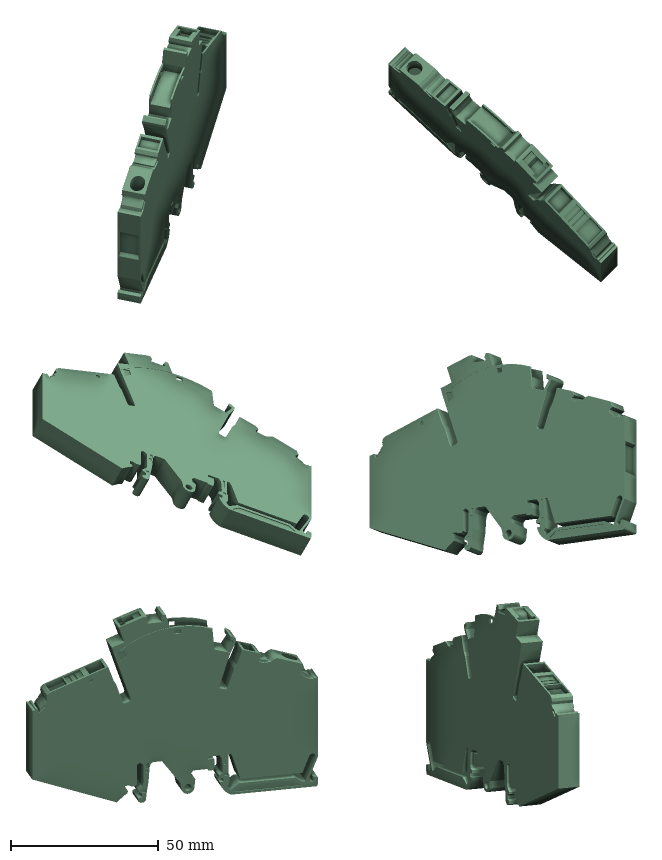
import cadquery as cq
import math


width = 8.1
length = 100.0
total_height = 67.95
wall = 0.6
inner_width = width - 2 * wall
shallow = 0.4

floor_z = 15.1
strip_z = 14.7
foot_end_y = 30.6
foot_back_y = 62.4
chin_z = 5.4
corner_z = 12.0
back_corner_z = 12.7

arc_y = 48.6
arc_radius = 34.5
arc_top_z = 63.3
arc_z = arc_top_z - arc_radius
recess_depth = 3.2
crown_start_y = 71.2
crown_end_y = 36.9
recess_end_y = 51.7


def prism(points, x_start=0.0, x_size=width):
    """Extrude a closed (Y, Z) outline along X."""
    return cq.Workplane("YZ", origin=(x_start, 0, 0)).polyline(points).close().extrude(x_size)


def block(y_range, z_range, x_start=0.0, x_size=width):
    """Box between two Y and two Z values."""
    (y0, y1), (z0, z1) = y_range, z_range
    return prism([(y0, z0), (y1, z0), (y1, z1), (y0, z1)], x_start, x_size)


def rod(y, z, diameter, x_start=0.0, x_size=width):
    """Round rod or bore along X."""
    return cq.Workplane("YZ", origin=(x_start, 0, 0)).center(y, z).circle(diameter / 2).extrude(x_size)


def arc_height(y, radius=arc_radius):
    """Height of a crown arc of the given radius at Y."""
    return arc_z + math.sqrt(radius ** 2 - (y - arc_y) ** 2)


def arc_point(y, radius=arc_radius):
    return (y, arc_height(y, radius))


def sunk_from_face(face_point, face_normal, size, depth):
    """Box sunk from a sloped face: size is (across X, along the slope)."""
    plane = cq.Plane(origin=(width / 2, *face_point), xDir=(1, 0, 0), normal=(0, *face_normal))
    return cq.Workplane(plane).rect(*size).extrude(-depth)


back_top_start = (93.9, 43.8)
back_side = [
    (length, back_corner_z), (length, 38.0), (99.0, 37.9), (98.8, 38.3), (98.1, 38.3), (97.9, 37.9),
    (97.4, 36.8), (95.3, 38.7), (95.9, 39.4), (94.8, 40.8), (95.1, 41.8), (94.9, 42.9), back_top_start,
]
back_top_end = (73.4, 51.1)
back_slot = [
    back_top_end, (71.3, 45.3), (70.6, 44.4), (68.3, 37.6), (67.7, 37.2), (65.8, 37.9),
    (65.6, 38.6), (68.3, 46.4), arc_point(crown_start_y),
]
shelf_start = (36.2, 53.6)
shelf_end = (30.5, 51.9)
front_top_start = (26.6, 52.6)
front_top_end = (20.8, 50.8)
front_slot = [
    shelf_end, (34.4, 40.0), (34.2, 39.3), (32.3, 38.7), (31.7, 39.1), (29.3, 45.9), (28.5, 47.1),
    (27.2, 50.3), front_top_start,
]
front_top = [
    front_top_end, (19.8, 49.8), (19.7, 49.2), (20.6, 48.3), (20.5, 47.5), (19.1, 47.0),
    (16.5, 47.1), (15.4, 47.9), (14.2, 48.3), (5.3, 45.2), (4.7, 43.3), (5.8, 42.5),
    (5.8, 41.6), (3.9, 39.9), (1.8, 39.4), (1.4, 39.7), (0.9, 39.5), (0.4, 39.5),
    (0.2, 39.8), (0, 39.8),
]
underside = [
    (0, corner_z), (2.4, corner_z), (3.0, 11.4), (5.4, chin_z), (27.2, chin_z), (29.8, 13.7),
    (foot_end_y, floor_z), (foot_back_y, floor_z), (63.3, 14.2), (63.3, 7.2), (64.0, 6.6), (65.2, 6.6),
    (66.3, 7.1), (67.5, 6.9), (67.5, 5.7), (66.5, 5.1), (66.7, 4.2), (68.0, 3.4), (70.4, 1.3),
]
housing = (
    cq.Workplane("YZ")
    .polyline(back_side + back_slot)
    .threePointArc((arc_y, arc_top_z), arc_point(crown_end_y))
    .polyline([shelf_start] + front_slot + front_top + underside, includeCurrent=True)
    .close()
    .extrude(width)
)

bevel = 0.1
bevel_from_z = 36.0
end_margin = 0.3
side_rim = housing.faces("<X").edges(
    cq.selectors.BoxSelector((-1, end_margin, bevel_from_z), (1, length - end_margin, total_height))
)
housing = housing.newObject(side_rim.vals()).chamfer(bevel)

strip_inset = 0.4
snap_strips = [
    [(97.1, 38.0), (95.9, 39.4), (95.3, 38.7), (97.4, 36.8)],
    [(20.6, 48.3), (17.4, 47.6), (17.4, 47.05), (19.1, 47.0), (20.5, 47.5)],
    [(5.8, 42.5), (3.0, 40.7), (2.4, 39.55), (3.9, 39.9), (5.8, 41.6)],
]
for strip in snap_strips:
    housing = housing.union(prism(strip, strip_inset, width - 2 * strip_inset))

back_slope = math.atan2(back_top_end[1] - back_top_start[1], back_top_start[0] - back_top_end[0])
back_normal = (math.sin(back_slope), math.cos(back_slope))
pocket_across = inner_width
groove_across = 6.3


def sink_back(y_range, across, depth):
    """Pocket sunk square to the back slope between two Y values."""
    middle = sum(y_range) / 2
    z = back_top_end[1] - (middle - back_top_end[0]) * math.tan(back_slope)
    size = (across, (y_range[1] - y_range[0]) / math.cos(back_slope))
    return sunk_from_face((middle, z), back_normal, size, depth)


tray_depth = 2.0
step_depth = 0.8
groove_depth = 1.4
probe_depth = 3.5
groove_length = 0.5
housing = housing.cut(sink_back((87.7, 93.6), pocket_across, tray_depth))
housing = housing.cut(sink_back((81.6, 87.3), groove_across, step_depth))
for groove_y in (83.6, 85.4):
    housing = housing.cut(sink_back((groove_y, groove_y + groove_length), groove_across, groove_depth))
housing = housing.cut(sink_back((74.3, 79.8), pocket_across, probe_depth))

front_slope = math.atan2(front_top_start[1] - front_top_end[1], front_top_start[0] - front_top_end[0])
front_normal = (-math.sin(front_slope), math.cos(front_slope))
front_pocket_y = 23.6
front_pocket_size = (pocket_across, 4.2)
front_pocket_depth = 2.0
front_pocket_z = front_top_end[1] + (front_pocket_y - front_top_end[0]) * math.tan(front_slope)
front_pocket = sunk_from_face(
    (front_pocket_y, front_pocket_z), front_normal, front_pocket_size, front_pocket_depth
)
housing = housing.cut(front_pocket)

entry_diameter = 5.0
entry_x = 4.45
entry_y = 9.0
entry_bottom_z = 38.0
entry_depth = 12.0
wire_entry = (
    cq.Workplane("XY", origin=(entry_x, entry_y, entry_bottom_z))
    .circle(entry_diameter / 2)
    .extrude(entry_depth)
)
mouth_y = 8.3
mouth_z = 46.3
mouth_depth = 2.0
entry_mouth = (
    cq.Workplane(cq.Plane(origin=(entry_x, mouth_y, mouth_z), xDir=(1, 0, 0), normal=(0, *front_normal)))
    .workplane(offset=-mouth_depth)
    .circle(entry_diameter / 2)
    .extrude(2 * mouth_depth)
)
housing = housing.cut(wire_entry).cut(entry_mouth)

window_depth = 1.2
window = prism([(0, 19.9), (window_depth, 20.9), (window_depth, 30.0), (0, 30.9)], wall, inner_width)
housing = housing.cut(window)

dimple_y = 79.4
dimple_z = 46.7
dimple_diameter = 1.4
housing = housing.cut(prism([(70.1, 56.0), (67.6, 56.2), (67.0, 54.2), (69.3, 52.4)], 0, shallow))
housing = housing.cut(rod(dimple_y, dimple_z, dimple_diameter, 0, shallow))
housing = housing.cut(block((48.0, 50.2), (60.6, 62.2)))

insert_floor_z = 51.0
insert_start_y = 31.3
insert_end_y = 68.5
carrier_front_y = crown_end_y - 0.4
sunk_radius = arc_radius - recess_depth
recess_middle_y = (crown_end_y + recess_end_y) / 2


def shelf_height(y):
    """Height of the sloped shelf between the crown and the latch."""
    rise = (shelf_start[1] - shelf_end[1]) / (shelf_start[0] - shelf_end[0])
    return shelf_end[1] + rise * (y - shelf_end[0])


insert = (
    cq.Workplane("YZ", origin=(wall, 0, 0))
    .moveTo(insert_start_y, insert_floor_z)
    .lineTo(insert_end_y, insert_floor_z)
    .lineTo(*arc_point(insert_end_y))
    .threePointArc(arc_point((insert_end_y + recess_end_y) / 2), arc_point(recess_end_y))
    .lineTo(*arc_point(recess_end_y, sunk_radius))
    .threePointArc(arc_point(recess_middle_y, sunk_radius), arc_point(carrier_front_y, sunk_radius))
    .lineTo(carrier_front_y, shelf_height(carrier_front_y))
    .lineTo(insert_start_y, shelf_height(insert_start_y))
    .close()
    .extrude(inner_width)
)

insert = insert.union(prism([
    (insert_start_y, insert_floor_z), (carrier_front_y, insert_floor_z),
    (carrier_front_y, shelf_height(carrier_front_y)),
    (insert_start_y, shelf_height(insert_start_y)),
], wall, width - wall))

crown_void = (
    cq.Workplane("YZ", origin=(wall, 0, 0))
    .moveTo(recess_end_y, insert_floor_z)
    .lineTo(recess_end_y, total_height)
    .lineTo(carrier_front_y, total_height)
    .lineTo(carrier_front_y, insert_floor_z)
    .close()
    .extrude(inner_width)
)
housing = housing.cut(crown_void).cut(insert)

tower_front_top = (60.9, 67.9)
tower_back_top = (69.7, 64.9)
tower = (
    cq.Workplane("YZ")
    .moveTo(*arc_point(recess_end_y))
    .polyline([
        (53.3, total_height), (54.4, total_height), (55.0, 66.5), (54.5, 66.0), (54.5, 65.4),
        (59.6, 65.4), (59.3, 66.7), (59.8, total_height), tower_front_top, tower_back_top,
        (67.8, 59.4), (72.1, 57.9), arc_point(crown_start_y),
    ], includeCurrent=True)
    .threePointArc(arc_point((crown_start_y + recess_end_y) / 2), arc_point(recess_end_y))
    .close()
    .extrude(width)
)

tower_slope = math.atan2(tower_front_top[1] - tower_back_top[1], tower_back_top[0] - tower_front_top[0])
tower_normal = (math.sin(tower_slope), math.cos(tower_slope))
wide_pocket_y = 68.0
wide_pocket_size = (6.7, 1.7)
wide_pocket_depth = 2.0
wide_pocket_z = tower_back_top[1] + (tower_back_top[0] - wide_pocket_y) * math.tan(tower_slope)
wide_pocket = sunk_from_face(
    (wide_pocket_y, wide_pocket_z), tower_normal, wide_pocket_size, wide_pocket_depth
)
tower = tower.cut(wide_pocket)
narrow_pocket_width = 4.4
narrow_pocket = [
    (68.4, 68.5), (68.4, 62.8), (64.5, 64.2), (63.4, 66.3), (61.3, 67.0), (61.3, 68.5),
]
tower = tower.cut(prism(narrow_pocket, (width - narrow_pocket_width) / 2, narrow_pocket_width))

latch_root_y = 31.8
latch = prism([
    (latch_root_y, shelf_height(latch_root_y)), shelf_end, (28.6, 55.7), (28.6, 56.6), (30.1, 57.7),
    (30.6, 57.7), (30.6, 56.2), (29.7, 56.2), (29.8, 55.3),
])
carrier = insert.union(tower).union(latch)

strip = block((foot_end_y, foot_back_y), (strip_z, floor_z))

back_leg = prism([
    (61.9, strip_z), (61.1, 14.0), (61.1, 7.6), (61.4, 6.3), (62.8, 4.9), (62.8, 4.2), (61.6, 3.5),
    (61.6, 2.3), (62.8, 1.9), (62.8, 0.8), (62.1, 0.3), (61.0, 0.3), (60.2, 1.1), (59.9, 4.0),
    (59.3, 7.6), (58.9, 13.0), (58.4, 14.3), (57.6, strip_z),
])
back_leg = back_leg.cut(block((59.2, 60.1), (12.5, 14.5), 0, shallow))
back_leg = back_leg.cut(block((59.4, 60.4), (11.2, 12.3), 0, shallow))
back_leg = back_leg.cut(block((60.4, 61.5), (4.0, 5.0), 0, shallow))

eye_y = 45.5
eye_z = 4.2
eye_outer = 4.6
eye_bore = 2.5
middle_foot = prism([
    (54.6, strip_z), (48.2, 6.1), (47.8, eye_z), (43.2, eye_z), (42.9, 7.0), (44.2, 7.9),
    (44.4, 9.2), (43.6, 10.2), (38.7, 10.2), (38.3, 9.6), (36.4, 9.6), (36.1, 12.0), (36.3, 13.7),
    (38.4, 13.7), (38.4, strip_z),
])
middle_foot = middle_foot.union(rod(eye_y, eye_z, eye_outer)).cut(rod(eye_y, eye_z, eye_bore))

base = (
    cq.Workplane("YZ")
    .moveTo(foot_end_y, strip_z)
    .polyline([
        (31.3, strip_z), (31.3, 7.7), (31.0, 7.4), (31.0, 4.3), (31.6, 3.4), (31.4, 2.5),
        (30.5, 1.8), (27.5, 3.9), (7.8, 3.9), (6.0, 2.5),
        (5.0, 2.0), (4.3, 2.3), (0.8, 10.6), (0.9, 11.4), (1.5, corner_z), (0, corner_z), (0, 10.7),
        (3.2, 2.9), (2.6, 1.9), (1.7, 1.9), (1.5, 3.4), (0.9, 3.6), (0, 3.3),
        (0, 0.9), (0.1, 0.3), (0.35, 0), (30.4, 0),
    ], includeCurrent=True)
    .threePointArc((32.8, 1.8), (34.3, 4.9))
    .polyline([
        (33.1, 5.0), (33.1, 6.2), (34.6, 6.4), (34.6, 7.5), (33.5, 8.1), (33.3, 9.0), (33.6, 13.5),
        (34.4, strip_z), (foot_end_y, floor_z),
    ], includeCurrent=True)
    .close()
    .extrude(width)
)
base = base.cut(prism([(29.4, 0.8), (5.6, 0.8), (8.3, 2.9), (26.8, 2.9)], 0, shallow))
base = base.cut(block((32.1, 32.9), (11.0, 14.5), 0, shallow))
base = base.cut(block((31.7, 32.9), (7.0, 8.2), 0, shallow))

foot = strip.union(back_leg).union(middle_foot).union(base)

result = cq.Compound.makeCompound([housing.val(), carrier.val(), foot.val()])